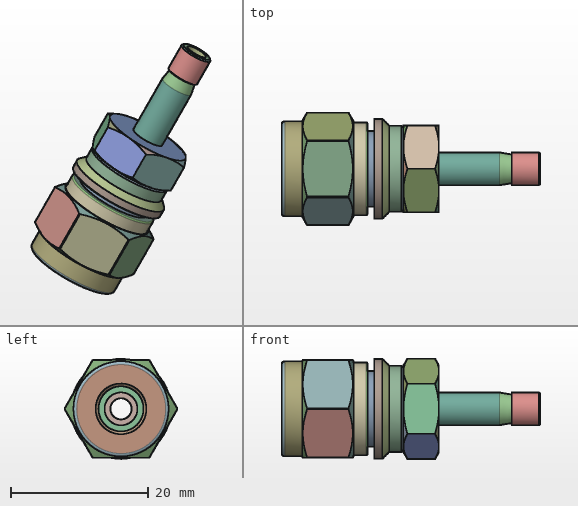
import cadquery as cq
import math

NUT_HEX_START = 3.0
NUT_HEX_END = 10.5
SLEEVE_END = 12.53
NECK_END = 13.5
FLANGE_RIM_END = 14.68
FLANGE_CONE_END = 15.7
BODY_HEX_START = 17.78
BODY_HEX_END = 22.95
STEM_GROOVE_START = 31.75
STEM_GROOVE_END = 33.55
TOTAL_LENGTH = 37.75

NUT_BAND_D = 13.9
SLEEVE_D = 13.6
NECK_D = 11.1
FLANGE_D = 14.6
COLLAR_D = 12.6
STEM_D = 4.83
STEM_GROOVE_D = 4.23

RECESS_MOUTH_D = 14.1
RECESS_ROOT_D = 10.1
RECESS_DEPTH = 2.2
NECK_TAPER_START = 13.8
NECK_TAPER_END = 14.53

NUT_FLATS = 14.3
NUT_CORNER_D = 16.4
BODY_FLATS = 12.68
HEX_BEVEL_ANGLE = 30.0

NUT_FACE_FILLET = 0.45
SLEEVE_FILLET = 0.23
COLLAR_CHAMFER = 0.35
STEM_CHAMFER = 0.23

TUBE_BORE_D = 6.55
TUBE_BORE_DEPTH = 15.1
TUBE_BORE_CHAMFER = 0.4
STEP_BORE_D = 4.8
STEP_BORE_DEPTH = 19.62
THROUGH_D = 3.05


def cylinder(start, end, diameter):
    """Solid cylinder on the X axis between two stations."""
    return cq.Workplane("YZ", origin=(start, 0, 0)).circle(diameter / 2).extrude(end - start)


def revolve_profile(points):
    """Revolve an (x, radius) outline around the X axis."""
    return cq.Workplane("XY").polyline(points).close().revolve(360, (0, 0, 0), (1, 0, 0))


def beveled_hex(start, end, flats, corner_d, face_d, turn):
    """Hexagon with both ends beveled conically and its corners turned to corner_d."""
    sharp_corner_d = flats / math.cos(math.radians(30))
    hexagon = (
        cq.Workplane("YZ", origin=(start, 0, 0))
        .transformed(rotate=(0, 0, turn))
        .polygon(6, sharp_corner_d)
        .extrude(end - start)
    )
    corner_r = corner_d / 2
    face_r = face_d / 2
    bevel = (corner_r - face_r) * math.tan(math.radians(HEX_BEVEL_ANGLE))
    envelope = revolve_profile([
        (start, 0),
        (start, face_r),
        (start + bevel, corner_r),
        (end - bevel, corner_r),
        (end, face_r),
        (end, 0),
    ])
    return hexagon.intersect(envelope)


def make_nut():
    band = cylinder(0, NUT_HEX_START, NUT_BAND_D).faces("<X").edges().fillet(NUT_FACE_FILLET)
    hexagon = beveled_hex(NUT_HEX_START, NUT_HEX_END, NUT_FLATS, NUT_CORNER_D, NUT_BAND_D, 0)
    sleeve = cylinder(NUT_HEX_END, SLEEVE_END, SLEEVE_D).faces(">X").edges().fillet(SLEEVE_FILLET)
    return band.union(hexagon).union(sleeve)


def make_body():
    neck = cylinder(SLEEVE_END, NECK_END, NECK_D)
    flange = revolve_profile([
        (NECK_END, 0),
        (NECK_END, FLANGE_D / 2),
        (FLANGE_RIM_END, FLANGE_D / 2),
        (FLANGE_CONE_END, COLLAR_D / 2),
        (FLANGE_CONE_END, 0),
    ])
    collar = cylinder(FLANGE_CONE_END, BODY_HEX_START, COLLAR_D)
    collar = collar.faces(">X").edges().chamfer(COLLAR_CHAMFER)
    sharp_corner_d = BODY_FLATS / math.cos(math.radians(30))
    hexagon = beveled_hex(BODY_HEX_START, BODY_HEX_END, BODY_FLATS, sharp_corner_d, BODY_FLATS, 30)
    flange = neck.union(flange).cut(make_seal_recess())
    return flange.union(collar).union(hexagon)


def make_seal_recess():
    """Ring with a conical outer wall running in to its root and a taper below the neck."""
    floor = NECK_END + RECESS_DEPTH
    return revolve_profile([
        (NECK_TAPER_START, NECK_D / 2),
        (NECK_END, NECK_D / 2),
        (NECK_END, RECESS_MOUTH_D / 2),
        (floor, RECESS_ROOT_D / 2),
        (NECK_TAPER_END, RECESS_ROOT_D / 2),
    ])


def make_stem():
    return revolve_profile([
        (BODY_HEX_END, 0),
        (BODY_HEX_END, STEM_D / 2),
        (STEM_GROOVE_START, STEM_D / 2),
        (STEM_GROOVE_END, STEM_GROOVE_D / 2),
        (STEM_GROOVE_END, STEM_D / 2),
        (TOTAL_LENGTH - STEM_CHAMFER, STEM_D / 2),
        (TOTAL_LENGTH, STEM_D / 2 - STEM_CHAMFER),
        (TOTAL_LENGTH, 0),
    ])


def make_bores():
    """Stepped passage: chamfered tube socket, intermediate bore, through hole."""
    tube_r = TUBE_BORE_D / 2
    step_r = STEP_BORE_D / 2
    through_r = THROUGH_D / 2
    return revolve_profile([
        (0, 0),
        (0, tube_r + TUBE_BORE_CHAMFER),
        (TUBE_BORE_CHAMFER, tube_r),
        (TUBE_BORE_DEPTH, tube_r),
        (TUBE_BORE_DEPTH, step_r),
        (STEP_BORE_DEPTH, step_r),
        (STEP_BORE_DEPTH, through_r),
        (TOTAL_LENGTH, through_r),
        (TOTAL_LENGTH, 0),
    ])


result = make_nut().union(make_body()).union(make_stem()).cut(make_bores())